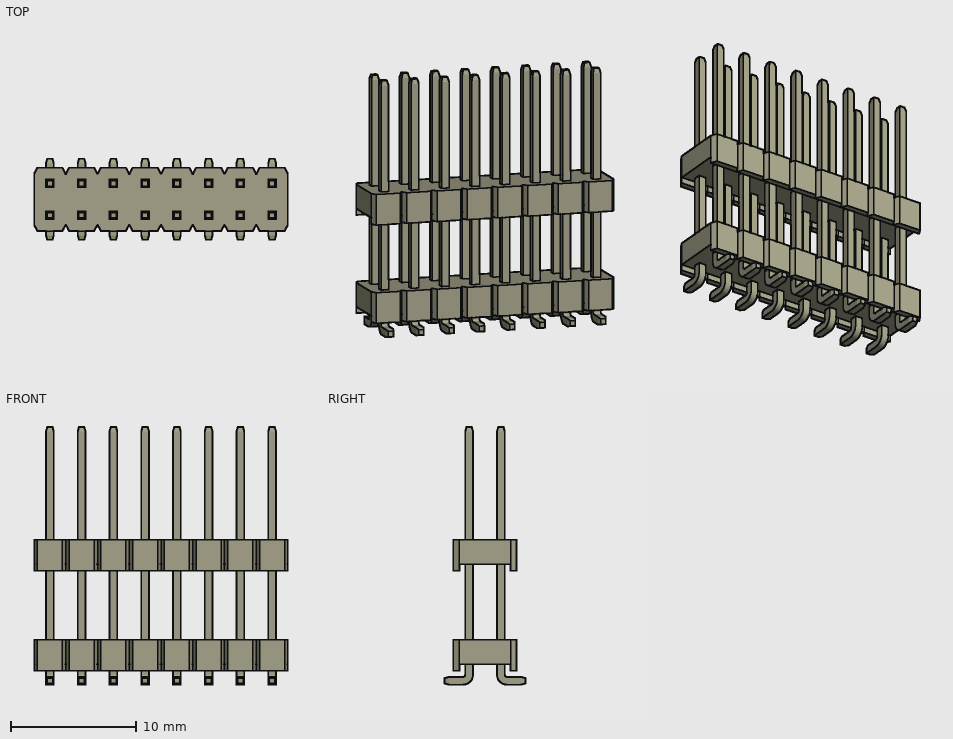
import cadquery as cq

positions = 8
body_length = 20.31
pitch = body_length / positions
body_depth = 2 * pitch
total_height = 20.62
foot_span = 6.5

pin_width = 0.64
tip_width = 0.43
tip_length = 0.37
bend_inner_radius = 0.16
bend_outer_radius = bend_inner_radius + pin_width

body_height = 2.5
lower_body_z = 1.11
body_spacing = 8.0
leg_height = 0.52
leg_thickness = 0.54
notch_depth = 0.5
notch_half_width = 0.27


def edge_outline():
    """Points of the +Y edge, from left to right: end chamfers and V notches between positions."""
    half_depth = body_depth / 2
    valley_y = half_depth - notch_depth
    points = []
    for i in range(positions):
        left = -body_length / 2 + i * pitch
        right = left + pitch
        points.append((left, valley_y))
        points.append((left + notch_half_width, half_depth))
        points.append((right - notch_half_width, half_depth))
    points.append((body_length / 2, valley_y))
    return points


def insulator(bottom_z):
    """Notched block with a channel along its underside, leaving a leg on each long side."""
    back_edge = edge_outline()
    front_edge = [(x, -y) for x, y in reversed(back_edge)]
    block = (
        cq.Workplane("XY")
        .workplane(offset=bottom_z)
        .polyline(back_edge + front_edge)
        .close()
        .extrude(body_height)
    )
    channel = cq.Workplane("XY").box(
        body_length, body_depth - 2 * leg_thickness, leg_height, centered=(True, True, False)
    )
    return block.cut(channel.translate((0, 0, bottom_z)))


def square_taper(plane):
    """Tapered pin end, growing from the given plane along its normal."""
    return (
        cq.Workplane(plane)
        .rect(pin_width, pin_width)
        .workplane(offset=tip_length)
        .rect(tip_width, tip_width)
        .loft(ruled=True)
    )


def back_pin():
    """Pin of the +Y row at X = 0, its foot bent outward along +Y."""
    row_y = pitch / 2
    inner_y = row_y - pin_width / 2
    outer_y = row_y + pin_width / 2
    shaft_top = total_height - tip_length
    foot_end = foot_span / 2 - tip_length
    bend_y = outer_y + bend_inner_radius

    shaft_and_foot = (
        cq.Workplane("YZ")
        .moveTo(inner_y, shaft_top)
        .lineTo(inner_y, bend_outer_radius)
        .radiusArc((bend_y, 0), -bend_outer_radius)
        .lineTo(foot_end, 0)
        .lineTo(foot_end, pin_width)
        .lineTo(bend_y, pin_width)
        .radiusArc((outer_y, bend_outer_radius), bend_inner_radius)
        .lineTo(outer_y, shaft_top)
        .close()
        .extrude(pin_width / 2, both=True)
    )
    top_plane = cq.Plane(origin=(0, row_y, shaft_top), xDir=(1, 0, 0), normal=(0, 0, 1))
    foot_plane = cq.Plane(origin=(0, foot_end, pin_width / 2), xDir=(1, 0, 0), normal=(0, 1, 0))
    return shaft_and_foot.union(square_taper(top_plane)).union(square_taper(foot_plane))


result = insulator(lower_body_z).union(insulator(lower_body_z + body_spacing))

pin_behind = back_pin()
pin_in_front = pin_behind.mirror("XZ")
for i in range(positions):
    pin_x = (i - (positions - 1) / 2) * pitch
    for pin in (pin_behind, pin_in_front):
        result = result.union(pin.translate((pin_x, 0, 0)))